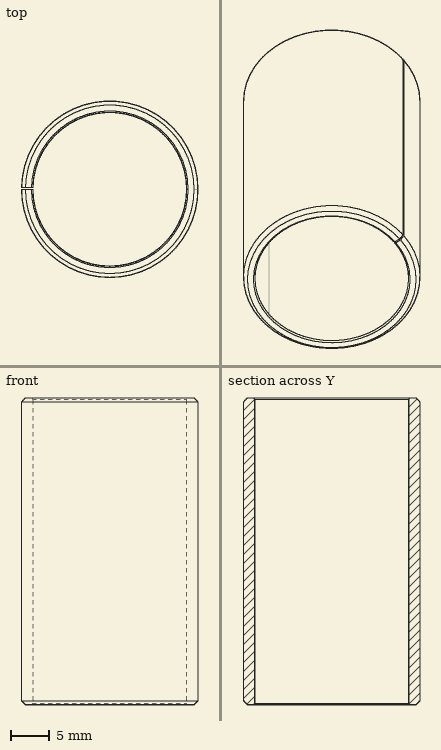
import cadquery as cq

length = 40.0
outer_diameter = 23.0
bore_diameter = 20.0
outer_chamfer = 0.5
bore_chamfer = 0.2
slit_width = 0.2

outer_radius = outer_diameter / 2
bore_radius = bore_diameter / 2


def make_sleeve():
    """Revolve the wall section, chamfered at all four corners."""
    outer_face_radius = outer_radius - outer_chamfer
    bore_face_radius = bore_radius + bore_chamfer
    section = (
        cq.Workplane("XZ")
        .moveTo(bore_face_radius, 0)
        .lineTo(outer_face_radius, 0)
        .lineTo(outer_radius, outer_chamfer)
        .lineTo(outer_radius, length - outer_chamfer)
        .lineTo(outer_face_radius, length)
        .lineTo(bore_face_radius, length)
        .lineTo(bore_radius, length - bore_chamfer)
        .lineTo(bore_radius, bore_chamfer)
        .close()
    )
    return section.revolve(360, (0, 0, 0), (0, 1, 0))


def make_slit():
    """Full-length cut through the -X wall, with one face on the plane Y = 0."""
    return cq.Workplane("XY").box(
        outer_diameter, slit_width, length, centered=(True, False, False)
    ).translate((-outer_radius, 0, 0))


result = make_sleeve().cut(make_slit())